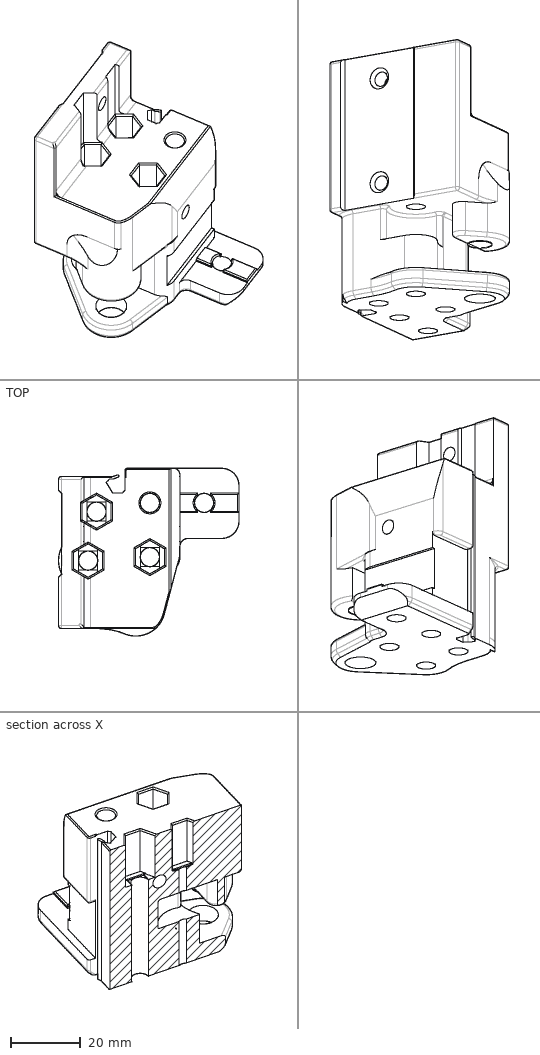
import cadquery as cq
import math

WALL_TOP = 71.0
BLOCK_TOP = 50.0
BLOCK_BOTTOM = 26.0
GAP_FLOOR = 15.9
PLATE_TOP = 5.6
TAB_TOP = 6.0
RIB_TOP = 6.9

TAB_END_X = 51.65
BACK_Y = 48.02
WALL_BACK_Y = 45.7
FRONT_Y = 2.15
WALL_THICKNESS = 7.3
BODY_RIGHT_X = 34.75
COLUMN_LEFT_X = 2.4
COLUMN_FRONT_Y = 18.45
COLUMN_BACK_RADIUS = 6.7
COLUMN_FRONT_RADIUS = 4.1

SCREW_DIAMETER = 5.4
ROUND_R = 8.5
POST_XY = (ROUND_R, 21.6)
BOSS_XY = (22.1, ROUND_R)
PIVOT_X = 26.15
TAB_HOLE_XY = (41.65, 38.1)
PLAIN_HOLE_XY = (PIVOT_X, TAB_HOLE_XY[1])
NUT_XYS = [POST_XY, (10.9, 35.6), (PIVOT_X, 22.6)]
NUT_FLATS = 8.3
NUT_FLOOR = 35.0
BRIDGE_LAYER = 0.25
MOUTH_CHAMFER = 0.43

GROOVE_Y = (17.75, 40.75)
GROOVE_DEPTH = 0.92
WALL_SCREW_Y = 29.2
WALL_SCREW_ZS = (32.6, 63.6)
WALL_SCREW_DIAMETER = 4.2
WALL_SCREW_CHAMFER = 1.0
WALL_ROUND = 0.9
WALL_FOOT_RADIUS = 1.9

SLANT_TOP_Y = 23.2
SLANT_RADIUS = 10.0
CROWN_DROP = 12.8
CROWN_RUN = 2.7
BLOCK_CHAMFER = 0.38
BLOCK_ROUND = 0.9
BLOCK_BACK_RADIUS = 1.9
BLOCK_FRONT_RADIUS = 2.3

BOSS_BOTTOM = 16.25
BOSS_BACK_Y = 12.0
BOSS_END_RADIUS = 3.0
BOSS_EDGE = 1.1
RING_DIAMETER = 7.0
RING_HEIGHT = 0.2
FAIRING_LEFT_X = 11.2
FAIRING_END_ANGLE = math.radians(-22)
FAIRING_TOP = 38.5
FAIRING_CORNER = 6.5
FAIRING_NOSE_Z = 31.3

PLATE_HOLE_DIAMETER = 8.8
PLATE_NECK_Y = 32.9
PLATE_TOP_ROUND = 0.95
BOTTOM_CHAMFER = 1.45
BOTTOM_BLEND = 1.7
BEVEL_END_Y = 43.3
TAB_FRONT_Y = 27.9
TAB_CORNER = 5.0
TAB_INNER_RADIUS = 2.3
TAB_END_CHAMFER = 4.65
RIB_WIDTH = 5.6
RIB_CHAMFER = 0.4
RIB_GAP = 3.7

POST_RADIUS = 6.1
POST_BLEND_X = 18.5
CLEARANCE_RADIUS = 8.4
CLEARANCE_LIP_RADIUS = 1.1
COLUMN_FILLET = 0.9
SIDE_RECESS_DEPTH = 0.9
SIDE_RECESS_Z = (9.7, 22.0)

NOTCH_RIGHT_X = 19.0
NOTCH_FLOOR_Y = 41.0
NOTCH_CORNER = 0.7
NOTCH_FLOOR_LEFT = (15.5, NOTCH_FLOOR_Y)
NOTCH_BEND = (14.7, 42.3)
NOTCH_POINT = (13.7, 43.95)
NOTCH_UNDERCUT = (14.6, 44.9)
FINGER_ROOT = (15.6, 45.28)
FINGER_TIP = (16.9, 45.75)
FINGER_RADIUS = 0.38


def polar(center, radius, angle):
    """Point on a circle, angle in radians."""
    return center[0] + radius * math.cos(angle), center[1] + radius * math.sin(angle)


def box(x_range, y_range, z_range):
    """Axis-aligned box from its three ranges."""
    size = [r[1] - r[0] for r in (x_range, y_range, z_range)]
    corner = (x_range[0], y_range[0], z_range[0])
    return cq.Workplane("XY").box(*size, centered=False).translate(corner)


def cylinder(xy, diameter, z_range):
    """Vertical cylinder between two heights."""
    height = z_range[1] - z_range[0]
    return cq.Workplane("XY", origin=(*xy, z_range[0])).circle(diameter / 2).extrude(height)


def near(x, y, tolerance=0.4):
    """Selector for vertical edges standing at a plan position."""
    low = (x - tolerance, y - tolerance, -1)
    high = (x + tolerance, y + tolerance, WALL_TOP + 1)
    return cq.selectors.BoxSelector(low, high)


def slant_angle():
    """Direction of the outward normal of the slanted side, tangent to the boss circle."""
    dx = BODY_RIGHT_X - BOSS_XY[0]
    dy = SLANT_TOP_Y - BOSS_XY[1]
    return math.atan2(dy, dx) - math.acos(ROUND_R / math.hypot(dx, dy))


def flank_angle():
    """Direction of the outward normal of the line touching the boss and post circles."""
    along = math.atan2(POST_XY[1] - BOSS_XY[1], POST_XY[0] - BOSS_XY[0])
    return along + math.pi / 2


def concave_blend(radius, along, rise):
    """Radius of a concave arc joining a line to a circle.

    The arc touches the line `along` from the circle centre, measured on the
    line; the line passes `rise` from the centre.
    """
    return (along ** 2 + rise ** 2 - radius ** 2) / (2 * (radius - rise))


def make_wall():
    wall = box((0, WALL_THICKNESS), (FRONT_Y, WALL_BACK_Y), (BLOCK_BOTTOM, WALL_TOP))
    wall = wall.edges("(<X and |Z) or >Z").fillet(WALL_ROUND)
    return wall.edges("|Z").edges(near(WALL_THICKNESS, FRONT_Y)).chamfer(BLOCK_CHAMFER)


def make_groove():
    """Shallow bevelled channel along the full height of the wall face."""
    return (
        cq.Workplane("XY")
        .moveTo(0, GROOVE_Y[0] - GROOVE_DEPTH)
        .lineTo(GROOVE_DEPTH, GROOVE_Y[0])
        .lineTo(GROOVE_DEPTH, GROOVE_Y[1])
        .lineTo(0, GROOVE_Y[1] + GROOVE_DEPTH)
        .close()
        .extrude(WALL_TOP)
    )


def make_block():
    """Main block with a slanted, rounded front corner and a curved +X shoulder."""
    angle = slant_angle()
    corner_angle = -math.acos((BOSS_XY[1] - FRONT_Y) / ROUND_R)
    front_corner = polar(BOSS_XY, ROUND_R, -math.pi / 2 - corner_angle)
    middle = polar(BOSS_XY, ROUND_R, (angle - math.pi / 2 - corner_angle) / 2)
    left_x = WALL_ROUND + GROOVE_DEPTH
    block = (
        cq.Workplane("XY", origin=(0, 0, BLOCK_BOTTOM))
        .moveTo(left_x, FRONT_Y)
        .lineTo(*front_corner)
        .threePointArc(middle, polar(BOSS_XY, ROUND_R, angle))
        .lineTo(BODY_RIGHT_X, SLANT_TOP_Y)
        .lineTo(BODY_RIGHT_X, BACK_Y)
        .lineTo(NOTCH_RIGHT_X, BACK_Y)
        .lineTo(NOTCH_RIGHT_X, WALL_BACK_Y)
        .lineTo(left_x, WALL_BACK_Y)
        .close()
        .extrude(BLOCK_TOP - BLOCK_BOTTOM)
    )
    block = block.edges("|Z").edges(near(*front_corner)).fillet(BLOCK_FRONT_RADIUS)
    block = block.edges("|Z").edges(near(BODY_RIGHT_X, BACK_Y)).fillet(BLOCK_BACK_RADIUS)
    block = block.edges("|Z").edges(near(BODY_RIGHT_X, SLANT_TOP_Y)).fillet(SLANT_RADIUS)
    block = block.edges("|Z").edges(near(NOTCH_RIGHT_X, BACK_Y)).fillet(NOTCH_CORNER)

    crown_radius = (CROWN_DROP ** 2 + CROWN_RUN ** 2) / (2 * CROWN_RUN)
    half_angle = math.asin(CROWN_DROP / crown_radius) / 2
    crown_center = (BODY_RIGHT_X - crown_radius, BLOCK_TOP - CROWN_DROP)
    crown = (
        cq.Workplane("XZ")
        .moveTo(0, 0)
        .lineTo(BODY_RIGHT_X, 0)
        .lineTo(BODY_RIGHT_X, BLOCK_TOP - CROWN_DROP)
        .threePointArc(
            polar(crown_center, crown_radius, half_angle),
            (BODY_RIGHT_X - CROWN_RUN, BLOCK_TOP),
        )
        .lineTo(0, BLOCK_TOP)
        .close()
        .extrude(-BACK_Y)
    )
    block = block.intersect(crown)
    return block.faces(">Z").edges("not <X").chamfer(BLOCK_CHAMFER)


def make_wall_foot():
    """Concave fillet where the wall rises from the block."""
    center = (WALL_THICKNESS + WALL_FOOT_RADIUS, BLOCK_TOP + WALL_FOOT_RADIUS)
    return (
        cq.Workplane("XZ", origin=(0, FRONT_Y + BLOCK_CHAMFER, 0))
        .moveTo(WALL_THICKNESS, BLOCK_TOP)
        .lineTo(center[0], BLOCK_TOP)
        .threePointArc(
            polar(center, WALL_FOOT_RADIUS, 1.25 * math.pi),
            (WALL_THICKNESS, center[1]),
        )
        .close()
        .extrude(FRONT_Y + 2 * BLOCK_CHAMFER - WALL_BACK_Y)
    )


def make_boss():
    """Rounded lug hanging from the block, with its flank parallel to the plate flank."""
    normal = flank_angle()
    flank_start = polar(BOSS_XY, ROUND_R, normal)
    end_y = BOSS_BACK_Y - BOSS_END_RADIUS
    flank_direction = normal - math.pi / 2
    start_center = polar(flank_start, BOSS_END_RADIUS, normal + math.pi)
    flank_length = (end_y - start_center[1]) / math.sin(flank_direction)
    end_center = polar(start_center, flank_length, flank_direction)
    flank_end = polar(end_center, BOSS_END_RADIUS, normal)
    right = polar(BOSS_XY, ROUND_R, math.asin((BOSS_BACK_Y - BOSS_XY[1]) / ROUND_R))
    lug = (
        cq.Workplane("XY", origin=(0, 0, BOSS_BOTTOM))
        .moveTo(right[0], BOSS_BACK_Y)
        .threePointArc(polar(BOSS_XY, ROUND_R, -math.pi / 4), flank_start)
        .lineTo(*flank_end)
        .threePointArc(
            polar(end_center, BOSS_END_RADIUS, math.pi),
            (end_center[0], BOSS_BACK_Y),
        )
        .close()
        .extrude(BLOCK_BOTTOM + BLOCK_ROUND - BOSS_BOTTOM)
    )
    lug = lug.faces("<Z").edges().fillet(BOSS_EDGE)
    ring = cylinder(BOSS_XY, RING_DIAMETER, (BOSS_BOTTOM - RING_HEIGHT, BOSS_BOTTOM))
    return lug.union(ring)


def make_fairing():
    """Bulge that carries the boss circle up the front of the block and fades out."""
    rise = BOSS_XY[1] - FRONT_Y
    along = BOSS_XY[0] - FAIRING_LEFT_X
    blend = concave_blend(ROUND_R, along, rise)
    blend_center = (FAIRING_LEFT_X, FRONT_Y - blend)
    toward = math.atan2(BOSS_XY[1] - blend_center[1], along)
    right = polar(BOSS_XY, ROUND_R, FAIRING_END_ANGLE)
    bulge = (
        cq.Workplane("XY", origin=(0, 0, BLOCK_BOTTOM))
        .moveTo(FAIRING_LEFT_X, FRONT_Y)
        .threePointArc(
            polar(blend_center, blend, (toward + math.pi / 2) / 2),
            polar(blend_center, blend, toward),
        )
        .threePointArc(polar(BOSS_XY, ROUND_R, -math.pi / 2), right)
        .lineTo(right[0] - 1, BOSS_XY[1])
        .lineTo(FAIRING_LEFT_X, BOSS_XY[1])
        .close()
        .extrude(FAIRING_TOP - BLOCK_BOTTOM)
    )
    front_shape = box(
        (FAIRING_LEFT_X, BODY_RIGHT_X), (-1, BOSS_XY[1]), (BLOCK_BOTTOM, FAIRING_TOP)
    )
    front_shape = front_shape.edges("|Y and >Z").fillet(FAIRING_CORNER)

    drop = FAIRING_TOP - FAIRING_NOSE_Z
    roof_radius = (drop ** 2 + FRONT_Y ** 2) / (2 * FRONT_Y)
    half_angle = math.asin(drop / roof_radius) / 2
    roof = (
        cq.Workplane("YZ")
        .moveTo(BOSS_XY[1], BLOCK_BOTTOM)
        .lineTo(0, BLOCK_BOTTOM)
        .lineTo(0, FAIRING_NOSE_Z)
        .threePointArc(
            polar((FRONT_Y - roof_radius, FAIRING_TOP), roof_radius, -half_angle),
            (FRONT_Y, FAIRING_TOP),
        )
        .lineTo(BOSS_XY[1], FAIRING_TOP)
        .close()
        .extrude(BODY_RIGHT_X)
    )
    return bulge.intersect(front_shape).intersect(roof)


def make_upper_body():
    """Wall, block and fairing with the underside rim rounded, and the boss below them."""
    body = make_wall().union(make_block()).union(make_wall_foot()).union(make_fairing())
    rounded_rim = cq.selectors.BoxSelector(
        (-1, -1, BLOCK_BOTTOM - 1),
        (BODY_RIGHT_X - 1, WALL_BACK_Y + 0.1, BLOCK_BOTTOM + 1),
    )
    body = body.faces("<Z").edges(rounded_rim).fillet(BLOCK_ROUND)
    return body.cut(make_groove()).union(make_boss())


def column_back_corner(outline):
    """Trace the -X side and the rounded back corner of the column."""
    center = (COLUMN_LEFT_X + COLUMN_BACK_RADIUS, WALL_BACK_Y - COLUMN_BACK_RADIUS)
    return outline.lineTo(COLUMN_LEFT_X, center[1]).threePointArc(
        polar(center, COLUMN_BACK_RADIUS, 0.75 * math.pi), (center[0], WALL_BACK_Y)
    )


def make_plate():
    """Base plate in front of the column, with a rounded top rim."""
    normal = flank_angle()
    slant = slant_angle()
    along = PLATE_NECK_Y - POST_XY[1]
    neck_radius = concave_blend(ROUND_R, along, POST_XY[0] - COLUMN_LEFT_X)
    neck_center = (COLUMN_LEFT_X - neck_radius, PLATE_NECK_Y)
    toward = math.atan2(-along, POST_XY[0] - neck_center[0])
    plate = (
        cq.Workplane("XY")
        .moveTo(COLUMN_LEFT_X, PLATE_NECK_Y)
        .lineTo(BODY_RIGHT_X, PLATE_NECK_Y)
        .lineTo(BODY_RIGHT_X, SLANT_TOP_Y)
        .lineTo(*polar(BOSS_XY, ROUND_R, slant))
        .threePointArc(
            polar(BOSS_XY, ROUND_R, (slant + normal - 2 * math.pi) / 2),
            polar(BOSS_XY, ROUND_R, normal),
        )
        .lineTo(*polar(POST_XY, ROUND_R, normal))
        .threePointArc(
            polar(POST_XY, ROUND_R, math.pi),
            polar(neck_center, neck_radius, toward),
        )
        .threePointArc(
            polar(neck_center, neck_radius, toward / 2),
            (COLUMN_LEFT_X, PLATE_NECK_Y),
        )
        .close()
        .extrude(PLATE_TOP)
    )
    return plate.faces(">Z").edges("not(>Y or >X)").fillet(PLATE_TOP_ROUND)


def make_tab():
    """Mounting tab with rounded outer corners and a concave inner corner."""
    center = (BODY_RIGHT_X + TAB_INNER_RADIUS, TAB_FRONT_Y - TAB_INNER_RADIUS)
    tab = (
        cq.Workplane("XY")
        .moveTo(NOTCH_RIGHT_X, BACK_Y)
        .lineTo(TAB_END_X, BACK_Y)
        .lineTo(TAB_END_X, TAB_FRONT_Y)
        .lineTo(center[0], TAB_FRONT_Y)
        .threePointArc(
            polar(center, TAB_INNER_RADIUS, 0.75 * math.pi),
            (BODY_RIGHT_X, center[1]),
        )
        .lineTo(NOTCH_RIGHT_X, center[1])
        .close()
        .extrude(TAB_TOP)
    )
    return tab.edges("|Z and >X").fillet(TAB_CORNER)


def make_ribs():
    """Two locating ribs in line on the tab, one on each side of its screw hole."""
    hole_x, hole_y = TAB_HOLE_XY
    y_range = (hole_y - RIB_WIDTH / 2, hole_y + RIB_WIDTH / 2)
    inner = box((BODY_RIGHT_X - 1, hole_x - RIB_GAP / 2), y_range, (TAB_TOP, RIB_TOP))
    outer = box((hole_x + RIB_GAP / 2, TAB_END_X), y_range, (TAB_TOP, RIB_TOP))
    inner = inner.faces(">Z").edges("not <X").chamfer(RIB_CHAMFER)
    return inner.union(outer.faces(">Z").edges().chamfer(RIB_CHAMFER))


def make_column():
    """Column with the rounded post blended into its front."""
    along = POST_BLEND_X - POST_XY[0]
    rise = POST_XY[1] - COLUMN_FRONT_Y
    blend = concave_blend(POST_RADIUS, along, rise)
    blend_center = (POST_BLEND_X, COLUMN_FRONT_Y - blend)
    toward = math.atan2(POST_XY[1] - blend_center[1], -along)
    post_left = (POST_XY[0] - POST_RADIUS, POST_XY[1])
    column = (
        column_back_corner(cq.Workplane("XY").moveTo(*post_left))
        .lineTo(BODY_RIGHT_X, WALL_BACK_Y)
        .lineTo(BODY_RIGHT_X, COLUMN_FRONT_Y)
        .lineTo(POST_BLEND_X, COLUMN_FRONT_Y)
        .threePointArc(
            polar(blend_center, blend, (toward + math.pi / 2) / 2),
            polar(blend_center, blend, toward),
        )
        .threePointArc(polar(POST_XY, POST_RADIUS, 1.25 * math.pi), post_left)
        .close()
        .extrude(BLOCK_BOTTOM + BLOCK_ROUND)
    )
    front_corner = near(BODY_RIGHT_X, COLUMN_FRONT_Y)
    return column.edges("|Z").edges(front_corner).fillet(COLUMN_FRONT_RADIUS)


def make_notched_column():
    """Column with the space above the post cleared and the opening's edges rounded."""
    clearance = cylinder(POST_XY, 2 * CLEARANCE_RADIUS, (GAP_FLOOR, BLOCK_BOTTOM))
    column = make_column().cut(clearance)
    reach_left = math.sqrt(CLEARANCE_RADIUS ** 2 - (POST_XY[0] - COLUMN_LEFT_X) ** 2)
    reach_front = math.sqrt(CLEARANCE_RADIUS ** 2 - (POST_XY[1] - COLUMN_FRONT_Y) ** 2)
    lips = [
        (COLUMN_LEFT_X, POST_XY[1] + reach_left),
        (POST_XY[0] + reach_front, COLUMN_FRONT_Y),
    ]
    for lip in lips:
        column = column.edges("|Z").edges(near(*lip)).fillet(CLEARANCE_LIP_RADIUS)
    return column


def make_base():
    """Plate, tab and column in one, with the bottom rim and the tab end bevelled."""
    base = make_plate().union(make_tab()).union(make_notched_column()).clean()
    corner_y = WALL_BACK_Y - COLUMN_BACK_RADIUS
    rim_end_x = TAB_END_X - TAB_CORNER
    front_rim = cq.selectors.BoxSelector((-1, -1, -1), (rim_end_x, corner_y + 0.1, 1))
    back_rim = cq.selectors.BoxSelector(
        (NOTCH_RIGHT_X + 1, BACK_Y - 1, -1), (rim_end_x, BACK_Y + 1, 1)
    )
    base = base.faces("<Z").edges(front_rim + back_rim).chamfer(BOTTOM_CHAMFER)
    blend_rim = cq.selectors.BoxSelector(
        (-1, -1, 0.9 * BOTTOM_CHAMFER), (rim_end_x, corner_y, 1.1 * BOTTOM_CHAMFER)
    )
    base = base.edges(blend_rim).fillet(BOTTOM_BLEND)
    base = base.edges("|Z").edges(near(NOTCH_RIGHT_X, BACK_Y)).fillet(NOTCH_CORNER)
    square_foot = make_column().intersect(
        box((COLUMN_LEFT_X, NOTCH_RIGHT_X), (BEVEL_END_Y, WALL_BACK_Y), (0, PLATE_TOP))
    )
    bevel = (
        cq.Workplane("XZ")
        .moveTo(TAB_END_X - TAB_END_CHAMFER, 0)
        .lineTo(TAB_END_X, TAB_END_CHAMFER)
        .lineTo(TAB_END_X, 0)
        .close()
        .extrude(-BACK_Y)
    )
    recess = box(
        (BODY_RIGHT_X - SIDE_RECESS_DEPTH, BODY_RIGHT_X), (0, BACK_Y), SIDE_RECESS_Z
    )
    return base.union(square_foot).cut(bevel).cut(recess)


def make_body():
    """Upper body and base joined, with a concave fillet around the top of the column."""
    body = make_upper_body().union(make_base())
    joint = cq.selectors.BoxSelector(
        (COLUMN_LEFT_X - 0.1, COLUMN_FRONT_Y - 0.1, BLOCK_BOTTOM - 0.1),
        (BOSS_XY[0] + ROUND_R - COLUMN_FILLET, WALL_BACK_Y - COLUMN_BACK_RADIUS, BLOCK_BOTTOM + 0.1),
    )
    return body.edges(joint).fillet(COLUMN_FILLET)


def make_nut_trap(xy):
    """Hexagonal pocket with two stepped layers under it and a through screw hole."""
    corner_diameter = NUT_FLATS / math.cos(math.pi / 6)
    mouth_diameter = (NUT_FLATS + 2 * MOUTH_CHAMFER) / math.cos(math.pi / 6)

    def hexagon(diameter, z_low, z_high):
        flat = cq.Workplane("XY", origin=(*xy, z_low)).transformed(rotate=(0, 0, 90))
        return flat.polygon(6, diameter).extrude(z_high - z_low)

    mouth = (
        cq.Workplane("XY", origin=(*xy, BLOCK_TOP - MOUTH_CHAMFER))
        .transformed(rotate=(0, 0, 90))
        .polygon(6, corner_diameter)
        .workplane(offset=MOUTH_CHAMFER)
        .polygon(6, mouth_diameter)
        .loft()
    )
    trap = hexagon(corner_diameter, NUT_FLOOR, WALL_TOP).union(mouth)
    trap = trap.union(hexagon(mouth_diameter, BLOCK_TOP, WALL_TOP))
    half = SCREW_DIAMETER / 2
    x_range = (xy[0] - half, xy[0] + half)
    strip_z = (NUT_FLOOR - BRIDGE_LAYER, NUT_FLOOR)
    square_z = (NUT_FLOOR - 2 * BRIDGE_LAYER, NUT_FLOOR - BRIDGE_LAYER)
    strip = box(x_range, (xy[1] - corner_diameter, xy[1] + corner_diameter), strip_z)
    strip = strip.intersect(hexagon(corner_diameter, *strip_z))
    square = box(x_range, (xy[1] - half, xy[1] + half), square_z)
    screw = cylinder(xy, SCREW_DIAMETER, (0, NUT_FLOOR))
    return trap.union(strip).union(square).union(screw)


def make_screw_hole(xy, mouth_z):
    """Through hole with a chamfered mouth at the given height."""
    radius = SCREW_DIAMETER / 2
    cone = cq.Solid.makeCone(
        radius,
        radius + MOUTH_CHAMFER,
        MOUTH_CHAMFER,
        cq.Vector(*xy, mouth_z - MOUTH_CHAMFER),
        cq.Vector(0, 0, 1),
    )
    return cylinder(xy, SCREW_DIAMETER, (0, mouth_z)).union(cq.Workplane(cone))


def make_wall_screw(z):
    """Screw hole along X, countersunk at the groove floor."""
    radius = WALL_SCREW_DIAMETER / 2
    hole = cq.Workplane("YZ", origin=(0, WALL_SCREW_Y, z)).circle(radius).extrude(BODY_RIGHT_X)
    cone = cq.Solid.makeCone(
        radius + WALL_SCREW_CHAMFER,
        radius,
        WALL_SCREW_CHAMFER,
        cq.Vector(GROOVE_DEPTH, WALL_SCREW_Y, z),
        cq.Vector(1, 0, 0),
    )
    return hole.union(cq.Workplane(cone))


def make_cable_notch():
    """Notch through the full height, undercut behind the finger."""
    return (
        cq.Workplane("XY")
        .moveTo(NOTCH_RIGHT_X, BACK_Y)
        .lineTo(NOTCH_RIGHT_X, NOTCH_FLOOR_Y + NOTCH_CORNER)
        .lineTo(NOTCH_RIGHT_X - NOTCH_CORNER, NOTCH_FLOOR_Y)
        .lineTo(*NOTCH_FLOOR_LEFT)
        .lineTo(*NOTCH_BEND)
        .lineTo(*NOTCH_POINT)
        .lineTo(*NOTCH_UNDERCUT)
        .lineTo(FINGER_ROOT[0], NOTCH_UNDERCUT[1])
        .lineTo(FINGER_ROOT[0], BACK_Y)
        .close()
        .extrude(BLOCK_TOP)
    )


def make_finger():
    """Thin round-ended lip that closes the notch partway."""
    dx = FINGER_TIP[0] - FINGER_ROOT[0]
    dy = FINGER_TIP[1] - FINGER_ROOT[1]
    center = (FINGER_ROOT[0] + dx / 2, FINGER_ROOT[1] + dy / 2)
    length = math.hypot(dx, dy) + 2 * FINGER_RADIUS
    finger = cq.Workplane("XY").slot2D(length, 2 * FINGER_RADIUS).extrude(BLOCK_TOP)
    tilt = math.degrees(math.atan2(dy, dx))
    return finger.rotate((0, 0, 0), (0, 0, 1), tilt).translate((*center, 0))


result = make_body().union(make_ribs())
for nut_xy in NUT_XYS:
    result = result.cut(make_nut_trap(nut_xy))
result = result.cut(make_screw_hole(PLAIN_HOLE_XY, BLOCK_TOP))
result = result.cut(make_screw_hole(TAB_HOLE_XY, RIB_TOP))
result = result.cut(cylinder(BOSS_XY, PLATE_HOLE_DIAMETER, (0, PLATE_TOP)))
for screw_z in WALL_SCREW_ZS:
    result = result.cut(make_wall_screw(screw_z))
result = result.cut(make_cable_notch()).union(make_finger())